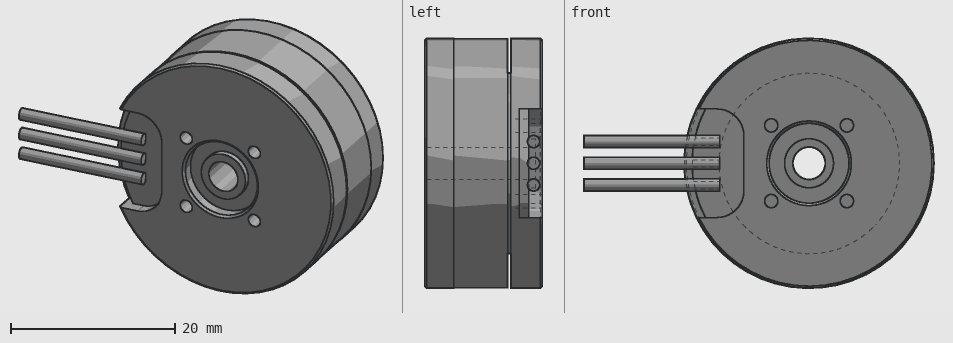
import cadquery as cq

body_radius = 15.23
body_length = 14.35
edge_chamfer = 0.25
base_thickness = 3.85
neck_radius = 11.0
gap_width = 0.4
bell_radius = 15.2
cap_start = 10.8

bore_radius = 1.95
boss_radius = 3.0
boss_face_depth = 0.85
recess_radius = 4.85
recess_depth = 1.7
recess_chamfer = 0.3

mount_hole_radius = 0.8
mount_hole_offset = 4.6
mount_hole_depth = base_thickness

pocket_half_height = 6.6
pocket_inner_x = -7.95
pocket_corner_radius = 3.3
pocket_depth = 1.65
ledge_depth = 2.8
ledge_radius = 14.25

wire_radius = 0.745
wire_spacing = 2.65
wire_depth = 1.05
wire_outer_x = -27.42
wire_inner_x = -10.88


def disc(radius, start, end):
    """Cylinder about the motor axis between two Y positions."""
    return cq.Workplane("XZ", origin=(0, start, 0)).circle(radius).extrude(start - end)


def pocket_block(depth):
    """Wire pocket from the mounting face, rounded inside and open at the rim."""
    length = body_radius + pocket_inner_x
    return (
        cq.Workplane("XY")
        .box(length, depth, 2 * pocket_half_height, centered=(False, False, True))
        .translate((-body_radius, 0, 0))
        .edges("|Y and >X")
        .fillet(pocket_corner_radius)
    )


def make_body():
    base = disc(body_radius, 0, base_thickness).faces("<Y").chamfer(edge_chamfer)
    bell_start = base_thickness + gap_width
    neck = disc(neck_radius, base_thickness, bell_start)
    bell = disc(bell_radius, bell_start, cap_start)
    cap = disc(body_radius, cap_start, body_length).faces(">Y").chamfer(edge_chamfer)
    return base.union(neck).union(bell).union(cap)


def cut_wire_pocket(body):
    ledge = pocket_block(ledge_depth).cut(disc(ledge_radius, 0, ledge_depth))
    return body.cut(pocket_block(pocket_depth)).cut(ledge)


def cut_center(body):
    recess = disc(recess_radius, 0, recess_depth)
    mouth_radius = recess_radius + recess_chamfer
    mouth = cq.Workplane(
        cq.Solid.makeCone(mouth_radius, recess_radius, recess_chamfer, dir=cq.Vector(0, 1, 0))
    )
    boss = disc(boss_radius, boss_face_depth, recess_depth)
    bore = disc(bore_radius, 0, body_length)
    return body.cut(recess.union(mouth)).union(boss).cut(bore)


def cut_mount_holes(body):
    for x in (-mount_hole_offset, mount_hole_offset):
        for z in (-mount_hole_offset, mount_hole_offset):
            hole = disc(mount_hole_radius, 0, mount_hole_depth).translate((x, 0, z))
            body = body.cut(hole)
    return body


def add_wires(body):
    for position in (-1, 0, 1):
        wire = (
            cq.Workplane("YZ", origin=(wire_outer_x, wire_depth, position * wire_spacing))
            .circle(wire_radius)
            .extrude(wire_inner_x - wire_outer_x)
        )
        body = body.union(wire)
    return body


result = add_wires(cut_mount_holes(cut_center(cut_wire_pocket(make_body()))))